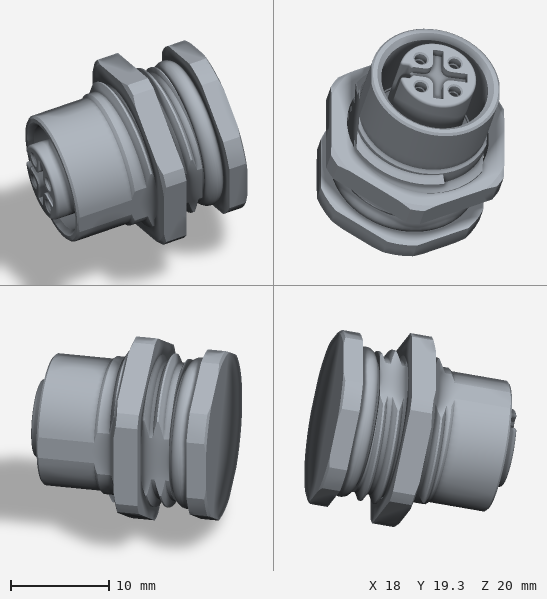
import cadquery as cq
import math


hex_front = 2.04
thread_start = 4.24
nut_rear = 7.04
nut_front = 9.54
thread_shoulder = 11.73
barrel_start = 12.07
barrel_front = 18.1
tip = 19.25

hex_flats = 16.91
hex_corner_radius = 9.02
hex_chamfer_radial = 0.35
hex_chamfer_axial = 0.2

nut_flats = 18.0
nut_corner_radius = 10.0
nut_bore_radius = 7.38
nut_chamfer_radial = 0.54
nut_chamfer_axial = 0.24

ring_section_radius = 0.98
ring_outer_radius = 7.75

neck_radius = 6.55
root_radius = 7.05
crest_radius = 7.9
pitch = 1.5
barrel_radius = 6.75
barrel_chamfer = 0.22
body_flats = 13.31

crest_width = pitch / 8
flank_angle = 30.0
thread_embed = 0.05
helix_start = 3.8
helix_end = 11.0
lead_in_rise = 0.62

mouth_radius = 6.08
bore_radius = 5.55
floor_radius = 5.38
socket_depth = 8.4
floor_step = 0.2

insert_radius = 4.02
insert_round = 0.28
base_radius = 4.5
base_round = 0.98
base_height = 1.2

notch_mouth = 1.6
notch_wall_end = 3.0
notch_bottom = 2.58

cross_width = 1.08
cross_reach = 3.08
cross_depth = 0.95
cross_notch_round = 0.25
cross_corner = 0.84

contact_circle_radius = 2.5
contact_count = 4
contact_mouth_radius = 0.8
contact_radius = 0.64
contact_depth = 1.0
pin_radius = 0.48
pin_depth = 2.4

margin = 0.02

socket_floor = barrel_front - socket_depth
base_top = socket_floor + base_height


def disc(radius, start, end):
    return cq.Workplane("XY").workplane(offset=start).circle(radius).extrude(end - start)


def revolved(profile):
    """Turn a closed (radius, station) outline about the connector axis."""
    return cq.Workplane("XZ").polyline(profile).close().revolve(360, (0, 0, 0), (0, 1, 0))


def hexagon(flats, start, end):
    """Hexagonal prism with two flats facing +X and -X."""
    corner_diameter = flats / math.cos(math.radians(30))
    prism = cq.Workplane("XY").polygon(6, corner_diameter).extrude(end - start)
    return prism.rotate((0, 0, 0), (0, 0, 1), 30).translate((0, 0, start))


def make_flange():
    blank = revolved([
        (0, 0),
        (hex_corner_radius - hex_chamfer_radial, 0),
        (hex_corner_radius, hex_chamfer_axial),
        (hex_corner_radius, hex_front),
        (0, hex_front),
    ])
    return blank.intersect(hexagon(hex_flats, 0, hex_front))


def make_nut():
    blank = revolved([
        (nut_bore_radius, nut_rear),
        (nut_corner_radius, nut_rear),
        (nut_corner_radius, nut_front - nut_chamfer_axial),
        (nut_corner_radius - nut_chamfer_radial, nut_front),
        (nut_bore_radius, nut_front),
    ])
    return blank.intersect(hexagon(nut_flats, nut_rear, nut_front))


def make_ring():
    center_radius = ring_outer_radius - ring_section_radius
    section = cq.Workplane("XZ").center(center_radius, hex_front + ring_section_radius)
    return section.circle(ring_section_radius).revolve(360, (-center_radius, 0, 0), (-center_radius, 1, 0))


def make_ridge(path, sink):
    """Ridge swept along a helix, starting lower than full height by the given sink."""
    inner_radius = root_radius - thread_embed
    half_crest = crest_width / 2
    half_base = half_crest + (crest_radius - inner_radius) * math.tan(math.radians(flank_angle))
    profile = cq.Workplane("XZ").polyline([
        (inner_radius - sink, -half_base),
        (crest_radius - sink, -half_crest),
        (crest_radius - sink, half_crest),
        (inner_radius - sink, half_base),
    ])
    return profile.close().sweep(cq.Workplane(path), isFrenet=True)


def make_lead_in():
    """First turn of the thread, rising along a cone until it reaches full height."""
    taper = math.atan2(lead_in_rise, pitch)
    slant = pitch / math.cos(taper)
    path = cq.Wire.makeHelix(slant, slant, root_radius - lead_in_rise, angle=math.degrees(taper))
    ridge = make_ridge(path, lead_in_rise).translate((0, 0, helix_start))
    return ridge.intersect(disc(crest_radius, thread_start, thread_shoulder))


def make_full_thread():
    """Right-hand thread at full height, following on from the lead-in."""
    start = helix_start + pitch
    path = cq.Wire.makeHelix(pitch, helix_end - start, root_radius)
    return make_ridge(path, 0).translate((0, 0, start))


def make_body():
    core = revolved([
        (0, thread_start),
        (root_radius, thread_start),
        (root_radius, thread_shoulder),
        (barrel_radius, barrel_start),
        (barrel_radius, barrel_front - barrel_chamfer),
        (barrel_radius - barrel_chamfer, barrel_front),
        (0, barrel_front),
    ])
    flats = cq.Workplane("XY").rect(body_flats, 2 * nut_flats).extrude(tip)
    return core.union(make_full_thread()).union(make_lead_in()).intersect(flats)


def make_socket():
    """Space inside the barrel, before the insert is added."""
    return revolved([
        (0, socket_floor),
        (floor_radius, socket_floor),
        (floor_radius, socket_floor + floor_step),
        (bore_radius, socket_floor + floor_step),
        (bore_radius, barrel_front - (mouth_radius - bore_radius)),
        (mouth_radius, barrel_front),
        (0, barrel_front),
    ])


def make_insert():
    half_mouth = notch_mouth / 2
    notch = (
        cq.Workplane("XY")
        .workplane(offset=base_top)
        .moveTo(-base_radius, half_mouth)
        .lineTo(-notch_wall_end, half_mouth)
        .threePointArc((-notch_bottom, 0), (-notch_wall_end, -half_mouth))
        .lineTo(-base_radius, -half_mouth)
        .close()
        .extrude(tip - base_top)
    )
    post = disc(insert_radius, base_top, tip).cut(notch)
    lip_x = -math.sqrt(insert_radius ** 2 - half_mouth ** 2)
    lips = cq.selectors.BoxSelector(
        (lip_x - margin, -notch_mouth, base_top + margin),
        (lip_x + margin, notch_mouth, tip - margin),
    )
    post = post.edges(">Z").add(post.edges(lips)).fillet(insert_round)
    base = disc(base_radius, socket_floor, base_top).faces(">Z").edges().fillet(base_round)
    post = post.cut(make_cross())
    cross_floor = tip - cross_depth
    floor_edge = cq.selectors.NearestToPointSelector((-notch_bottom, 0, cross_floor))
    post = post.edges(floor_edge).fillet(cross_notch_round)
    return post.union(base)


def make_cross():
    floor = cq.Workplane("XY").workplane(offset=tip - cross_depth)
    arm = floor.rect(2 * insert_radius, cross_width).extrude(cross_depth)
    cross = arm.union(arm.rotate((0, 0, 0), (0, 0, 1), 90))
    half = cross_width / 2 + margin
    inner = cq.selectors.BoxSelector((-half, -half, 0), (half, half, 2 * tip))
    cross = cross.edges("|Z").edges(inner).fillet(cross_corner)
    return cross.intersect(disc(cross_reach, tip - cross_depth, tip))


def make_contact_hole():
    lead = contact_mouth_radius - contact_radius
    return revolved([
        (0, tip),
        (contact_mouth_radius, tip),
        (contact_radius, tip - lead),
        (contact_radius, tip - contact_depth),
        (pin_radius, tip - contact_depth),
        (pin_radius, tip - pin_depth),
        (0, tip - pin_depth - pin_radius),
    ])


part = make_flange().union(disc(neck_radius, hex_front, thread_start))
part = part.union(make_ring())
part = part.union(make_body())
part = part.union(make_nut())
part = part.cut(make_socket()).union(make_insert())
for index in range(contact_count):
    angle = math.radians(45 + index * 360 / contact_count)
    x = contact_circle_radius * math.cos(angle)
    y = contact_circle_radius * math.sin(angle)
    part = part.cut(make_contact_hole().translate((x, y, 0)))

result = part.rotate((0, 0, 0), (1, 0, 0), 90)